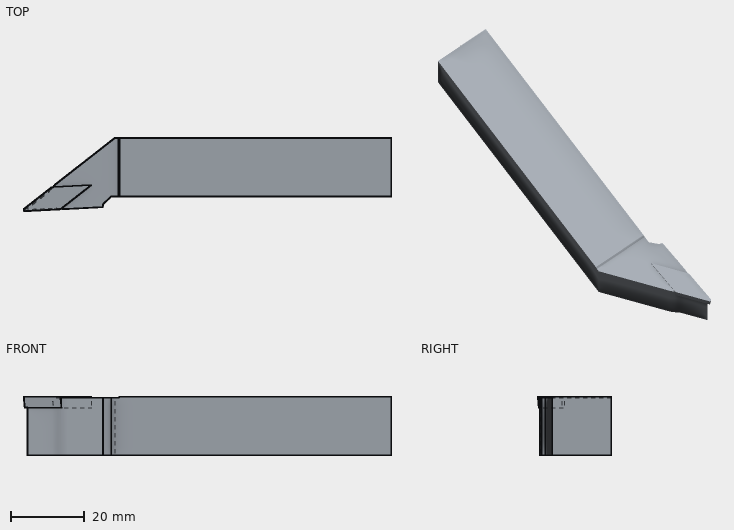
import cadquery as cq
import math

total_length = 100.0
shank_size = 16.0

insert_side = 10.8
insert_thickness = 3.0
clearance_angle = 5.0
nose_radius = 0.4
tip_reach = 4.0
front_angle = 3.0
flank_angle = 38.0

head_drop = 0.3
ramp_start = 25.7
ramp_end = 26.2
front_face_end_x = 21.5
neck_x = 21.7
neck_y = -2.0
neck_end_x = 23.8

relief_depth = 0.5
blend_half_length = 1.8
relief_nose = 0.4

front_dir = cq.Vector(math.cos(math.radians(front_angle)), math.sin(math.radians(front_angle)), 0)
flank_dir = cq.Vector(math.cos(math.radians(flank_angle)), math.sin(math.radians(flank_angle)), 0)
front_inward = cq.Vector(-front_dir.y, front_dir.x, 0)
flank_inward = cq.Vector(flank_dir.y, -flank_dir.x, 0)

tip_half_angle = math.radians(flank_angle - front_angle) / 2
bisector_angle = math.radians(flank_angle + front_angle) / 2
bisector = cq.Vector(math.cos(bisector_angle), math.sin(bisector_angle), 0)
nose_center = cq.Vector(nose_radius, nose_radius - tip_reach, 0)
apex = nose_center - bisector * (nose_radius / math.sin(tip_half_angle))

insert_front_end = apex + front_dir * insert_side
insert_flank_end = apex + flank_dir * insert_side
insert_rear = insert_front_end + flank_dir * insert_side


def insert_envelope():
    """Sharp rhombic prism around the insert; its rear walls are the walls of the pocket."""
    corners = [apex, insert_front_end, insert_rear, insert_flank_end]
    return (
        cq.Workplane("XY", origin=(0, 0, shank_size))
        .polyline([(p.x, p.y) for p in corners])
        .close()
        .extrude(-insert_thickness)
    )


def insert_body():
    """Insert with a nose and two relieved cutting edges; its rear faces stay upright."""
    wedge_side = 2 * insert_side
    wedge_front = apex + front_dir * wedge_side
    wedge_flank = apex + flank_dir * wedge_side
    wedge_rear = wedge_front + flank_dir * wedge_side
    nose_front = nose_center - front_inward * nose_radius
    nose_tip = nose_center - bisector * nose_radius
    nose_flank = nose_center - flank_inward * nose_radius
    wedge = (
        cq.Workplane("XY", origin=(0, 0, shank_size))
        .moveTo(nose_front.x, nose_front.y)
        .lineTo(wedge_front.x, wedge_front.y)
        .lineTo(wedge_rear.x, wedge_rear.y)
        .lineTo(wedge_flank.x, wedge_flank.y)
        .lineTo(nose_flank.x, nose_flank.y)
        .threePointArc((nose_tip.x, nose_tip.y), (nose_front.x, nose_front.y))
        .close()
        .extrude(-insert_thickness, taper=clearance_angle)
    )
    return wedge.intersect(insert_envelope())


def blend_points(direction, inward):
    """Relieved end, middle and full-width end of an S-shaped run-out on one side."""
    along = [insert_side - blend_half_length, insert_side, insert_side + blend_half_length]
    depths = [relief_depth, relief_depth / 2, 0]
    return [apex + direction * a + inward * d for a, d in zip(along, depths)]


def holder_body():
    front_relieved, front_middle, front_full = blend_points(front_dir, front_inward)
    flank_relieved, flank_middle, flank_full = blend_points(flank_dir, flank_inward)

    relief_apex = apex + bisector * (relief_depth / math.sin(tip_half_angle))
    cut_distance = relief_nose / math.cos(tip_half_angle)
    front_tip = relief_apex + front_dir * cut_distance
    flank_tip = relief_apex + flank_dir * cut_distance

    front_face_end_y = apex.y + (front_face_end_x - apex.x) * math.tan(math.radians(front_angle))
    flank_top_x = apex.x + (shank_size - apex.y) / math.tan(math.radians(flank_angle))

    holder = (
        cq.Workplane("XY")
        .moveTo(front_tip.x, front_tip.y)
        .lineTo(front_relieved.x, front_relieved.y)
        .tangentArcPoint((front_middle.x, front_middle.y), relative=False)
        .tangentArcPoint((front_full.x, front_full.y), relative=False)
        .lineTo(front_face_end_x, front_face_end_y)
        .lineTo(neck_x, neck_y)
        .lineTo(neck_end_x, 0)
        .lineTo(total_length, 0)
        .lineTo(total_length, shank_size)
        .lineTo(flank_top_x, shank_size)
        .lineTo(flank_full.x, flank_full.y)
        .tangentArcPoint((flank_middle.x, flank_middle.y), relative=False)
        .tangentArcPoint((flank_relieved.x, flank_relieved.y), relative=False)
        .lineTo(flank_tip.x, flank_tip.y)
        .close()
        .extrude(shank_size)
    )

    head_top = shank_size - head_drop
    head_cut = (
        cq.Workplane("XZ")
        .polyline([(0, head_top), (ramp_start, head_top), (ramp_end, shank_size), (0, shank_size)])
        .close()
        .extrude(2 * shank_size, both=True)
    )
    return holder.cut(head_cut).cut(insert_envelope())


insert = insert_body()
holder = holder_body()

result = cq.Compound.makeCompound([holder.val(), insert.val()])